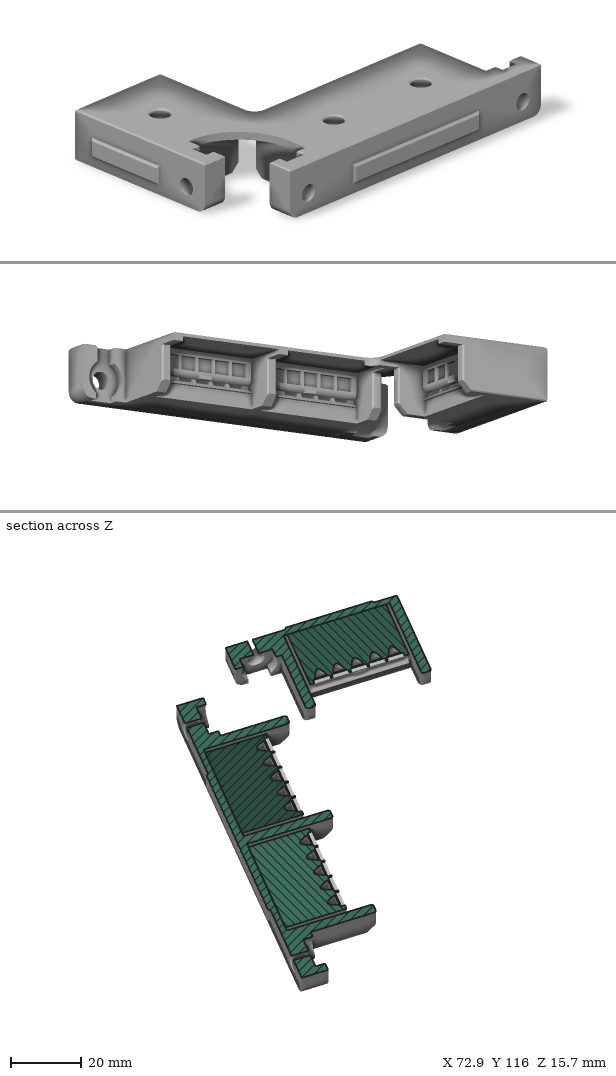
import cadquery as cq

arm_length = 115.2
width = 72.1
height = 15.7
roof_thickness = 2.4
roof_depth = 34.3
body_depth = 28.1
inner_corner_radius = 3.5
top_chamfer = 0.5
roof_underside = height - roof_thickness

wall = 3.0
back_wall = 2.0
bay_width = 32.0
bay_pitch = bay_width + wall
floor_depth = 19.3
floor_height = 4.4
foot_chamfer = 3.0
wall_edge_chamfer = 0.5
lip_thickness = 1.0
mouth_depth = 19.7
sole_chamfer = 0.3
inspection_diameter = 6.0
inspection_chamfer = 0.5
inspection_depth = 15.2

tab_length = 14.0
tab_thickness = 8.1
tab_radius = 3.0
screw_inset = 7.4
screw_height = 6.1
screw_diameter = 5.2
seat_diameter = 11.0
seat_depth = 2.9
narrow_slot = 5.6
wide_slot = 6.7

short_body_end = bay_pitch + wall
short_arm_length = short_body_end + tab_length
long_arm_start = body_depth - tab_length
long_body_end = arm_length - tab_length
short_bay_centers = [wall + bay_width / 2]
long_bay_centers = [body_depth + wall + bay_width / 2 + i * bay_pitch for i in range(2)]
short_screw = short_arm_length - screw_inset
long_screw_low = long_arm_start + screw_inset
long_screw_high = arm_length - screw_inset

clearance_radius = body_depth - tab_thickness
clearance_start = width - roof_depth

panel_proud = 0.8
panel_height = 6.0
panel_base = 3.1
panel_bevel = 0.7
short_panel_start = 7.0
short_panel_length = 27.0
long_panel_start = 39.3
long_panel_length = 50.7

terminal_width = 30.0
terminal_depth = 18.5
terminal_height = 8.8
way_count = 5
way_pitch = 5.6
lever_window_width = 4.9
lever_window_height = 4.1
lever_window_base = 4.2
lever_window_depth = 1.2
brow_base = 2.2
brow_drop = 1.6
brow_depth = 1.6
sill_base = 0.1
sill_rise = 1.0
entry_diameter = 4.9
entry_depth = 4.6
entry_taper = 15.0
entry_height = 2.5
key_width = 3.7
key_height = 1.2


def box(x0, x1, y0, y1, z0, z1):
    """A box given by its limits."""
    return cq.Workplane("XY").box(x1 - x0, y1 - y0, z1 - z0, centered=False).translate((x0, y0, z0))


def on_long_arm(body):
    """Turn a body from the local arm frame onto the long arm."""
    return body.rotate((0, 0, 0), (0, 0, 1), 90).translate((width, 0, 0))


def slot(screw, slot_width, z0, z1):
    """Open slot in the inner face of a screw tab."""
    half = slot_width / 2
    return box(screw - half, screw + half, tab_thickness - seat_depth, tab_thickness, z0, z1)


def roof():
    """L-shaped roof, chamfered all round except along the clearance curve."""
    tab_face = width - tab_thickness
    mid = clearance_radius * 0.5 ** 0.5
    center_x = clearance_start + clearance_radius
    plate = (
        cq.Workplane("XY", origin=(0, 0, roof_underside))
        .lineTo(short_arm_length, 0)
        .lineTo(short_arm_length, tab_thickness)
        .lineTo(clearance_start, tab_thickness)
        .threePointArc((center_x - mid, tab_thickness + mid), (center_x, body_depth))
        .lineTo(tab_face, body_depth)
        .lineTo(tab_face, long_arm_start)
        .lineTo(width, long_arm_start)
        .lineTo(width, arm_length)
        .lineTo(tab_face, arm_length)
        .lineTo(tab_face, long_body_end)
        .lineTo(clearance_start, long_body_end)
        .lineTo(clearance_start, roof_depth)
        .lineTo(0, roof_depth)
        .close()
        .extrude(roof_thickness)
    )
    plate = plate.cut(slot(short_screw, narrow_slot, roof_underside, height))
    plate = plate.cut(on_long_arm(slot(long_screw_low, wide_slot, roof_underside, height)))
    plate = plate.cut(on_long_arm(slot(long_screw_high, narrow_slot, roof_underside, height)))
    inner_corner = cq.selectors.NearestToPointSelector(
        (clearance_start, roof_depth, height - roof_thickness / 2)
    )
    plate = plate.edges(inner_corner).fillet(inner_corner_radius)
    clearance_edges = cq.selectors.BoxSelector(
        (clearance_start, tab_thickness + top_chamfer, 0),
        (tab_face - top_chamfer, body_depth + top_chamfer, height + top_chamfer),
    )
    return plate.faces(">Z").edges(cq.selectors.InverseSelector(clearance_edges)).chamfer(top_chamfer)


def cylinder_along_y(x, z, y0, y1, diameter):
    """A cylinder whose axis runs in the local depth direction."""
    plane = cq.Plane(origin=(x, y0, z), xDir=(1, 0, 0), normal=(0, 1, 0))
    return cq.Workplane(plane).circle(diameter / 2).extrude(y1 - y0)


def screw_tab(start, free_end):
    """Block below the roof, rounded under its free end."""
    tab = box(start, start + tab_length, 0, tab_thickness, 0, roof_underside)
    return tab.edges("|Y and <Z").edges(free_end).fillet(tab_radius)


def screw_cuts(screw, upper_slot, lower_slot):
    """Screw hole, round seat and the slots above and below the seat."""
    seat_face = tab_thickness - seat_depth
    cuts = cylinder_along_y(screw, screw_height, 0, tab_thickness, screw_diameter)
    cuts = cuts.union(cylinder_along_y(screw, screw_height, seat_face, tab_thickness, seat_diameter))
    cuts = cuts.union(slot(screw, upper_slot, screw_height, roof_underside))
    return cuts.union(slot(screw, lower_slot, 0, screw_height))


def arm_body(start, end, bay_centers):
    """Walls, floor and back of an arm, below the roof."""
    body = box(start, end, 0, body_depth, 0, roof_underside)
    body = body.edges("|X and <Z and >Y").chamfer(foot_chamfer)
    body = body.edges("|Y and <Z").edges("<X").chamfer(sole_chamfer)
    for center in bay_centers:
        x0 = center - bay_width / 2
        x1 = center + bay_width / 2
        body = body.cut(box(x0, x1, back_wall, body_depth, floor_height, roof_underside))
        body = body.cut(box(x0, x1, floor_depth, body_depth, 0, floor_height))
    return body.faces(">Y").edges("|Z").chamfer(wall_edge_chamfer)


def roof_cuts(bay_centers):
    """Headroom over the mouth of each bay and the inspection hole above its terminal."""
    half = bay_width / 2
    lip = height - lip_thickness
    rim_radius = inspection_diameter / 2 + inspection_chamfer
    cuts = cq.Workplane("XY")
    for center in bay_centers:
        cuts = cuts.add(box(center - half, center + half, mouth_depth, roof_depth, roof_underside, lip))
        hole = cq.Workplane("XY", origin=(center, inspection_depth, roof_underside))
        cuts = cuts.add(hole.circle(inspection_diameter / 2).extrude(roof_thickness))
        rim = cq.Workplane("XY", origin=(center, inspection_depth, height))
        cuts = cuts.add(rim.circle(rim_radius).extrude(-rim_radius, taper=45))
    return cuts.combine()


def label_panel(start, length):
    """Raised panel with bevelled edges on the outer face."""
    panel = box(start, start + length, -panel_proud, 0, panel_base, panel_base + panel_height)
    return panel.faces("<Y").chamfer(panel_bevel)


def make_housing():
    """The whole holder as one solid."""
    short_arm = arm_body(0, short_body_end, short_bay_centers)
    short_arm = short_arm.union(screw_tab(short_body_end, ">X"))
    short_arm = short_arm.union(label_panel(short_panel_start, short_panel_length))
    long_arm = arm_body(body_depth, long_body_end, long_bay_centers)
    long_arm = long_arm.union(screw_tab(long_arm_start, "<X"))
    long_arm = long_arm.union(screw_tab(long_body_end, ">X"))
    long_arm = long_arm.union(label_panel(long_panel_start, long_panel_length))
    holder = roof().union(short_arm).union(on_long_arm(long_arm))
    holder = holder.cut(roof_cuts(short_bay_centers))
    holder = holder.cut(on_long_arm(roof_cuts(long_bay_centers)))
    holder = holder.cut(screw_cuts(short_screw, narrow_slot, wide_slot))
    holder = holder.cut(on_long_arm(screw_cuts(long_screw_low, wide_slot, narrow_slot)))
    return holder.cut(on_long_arm(screw_cuts(long_screw_high, narrow_slot, wide_slot)))


def make_terminal(center):
    """Lever terminal standing on the bay floor, its wire side facing out of the bay."""
    front = terminal_depth
    recess = front - brow_depth
    arc_inset = 1 - 0.5 ** 0.5
    body = (
        cq.Workplane("YZ", origin=(-terminal_width / 2, 0, 0))
        .lineTo(front, 0)
        .lineTo(front, sill_base)
        .lineTo(recess, sill_base + sill_rise)
        .lineTo(recess, brow_base)
        .threePointArc(
            (front - brow_depth * arc_inset, brow_base + brow_drop * arc_inset),
            (front, brow_base + brow_drop),
        )
        .lineTo(front, terminal_height)
        .lineTo(0, terminal_height)
        .close()
        .extrude(terminal_width)
    )
    half_window = lever_window_width / 2
    window_top = lever_window_base + lever_window_height
    window_back = front - lever_window_depth
    for i in range(way_count):
        x = (i - (way_count - 1) / 2) * way_pitch
        body = body.cut(
            box(x - half_window, x + half_window, window_back, front, lever_window_base, window_top)
        )
        mouth = cq.Plane(origin=(x, recess, entry_height), xDir=(1, 0, 0), normal=(0, -1, 0))
        funnel = cq.Workplane(mouth).circle(entry_diameter / 2).extrude(entry_depth, taper=entry_taper)
        body = body.cut(funnel)
    key = box(-key_width / 2, key_width / 2, recess, front, brow_base, brow_base + key_height)
    return body.union(key).translate((center, back_wall, floor_height))


housing = make_housing()
terminals = [make_terminal(center) for center in short_bay_centers]
terminals += [on_long_arm(make_terminal(center)) for center in long_bay_centers]

result = cq.Compound.makeCompound([housing.val(), *[terminal.val() for terminal in terminals]])